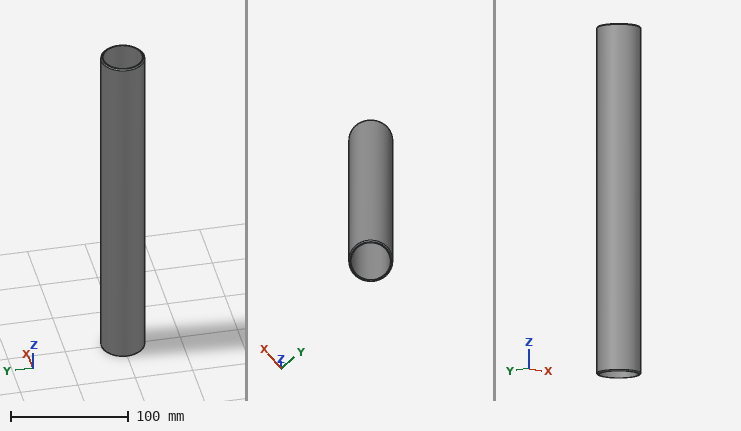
import cadquery as cq

length = 300.0
outer_diameter = 37.5
wall = 2.0
edge_chamfer = 1.05

outer_radius = outer_diameter / 2
inner_radius = outer_radius - wall

tube = cq.Workplane("XY").circle(outer_radius).circle(inner_radius).extrude(length)

outer_rims = cq.selectors.RadiusNthSelector(-1)
result = tube.edges("%CIRCLE").edges(outer_rims).chamfer(edge_chamfer)